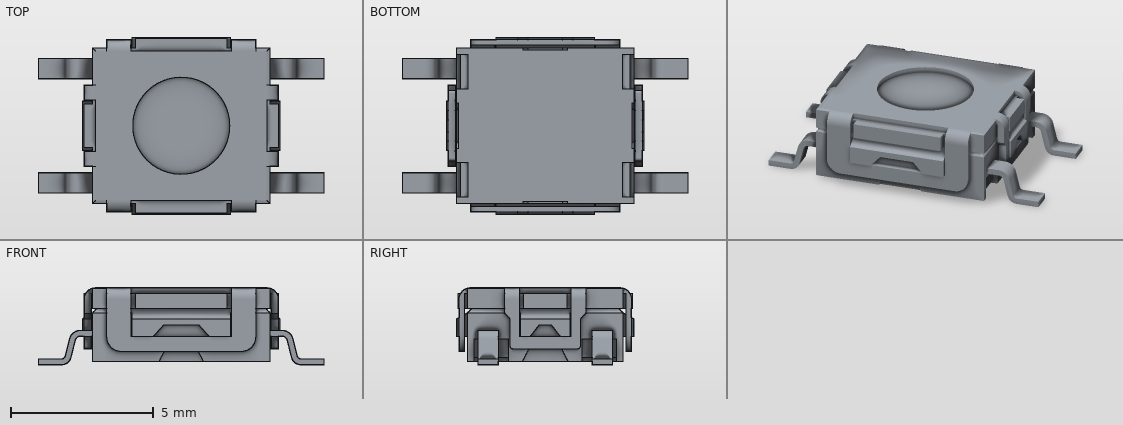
import cadquery as cq
import math

top_z = 2.7
base_bottom_z = 0.11
base_top_z = 1.97
base_chamfer = 0.15

body_x = 6.22
body_y = 5.46
cover_bevel_width = 0.11
cover_bevel_height = 0.03
button_diameter = 3.4
button_depth = 0.2

bend_radius = 0.4
window_bottom_z = 0.99
upper_block_top_z = 2.5
lower_block_edge_z = 1.61
snap_slot_height = 0.41
key_slope = 0.5
key_depth = 0.08

lead_tip_x = 5.0
lead_centre_y = 2.0
lead_width = 0.72
lead_top_z = 1.21
lead_thickness = 0.21
lead_foot_bend_outer = 0.34
lead_crest_bend_outer = 0.4
lead_foot_bend_x = 4.19
lead_rise_angle = math.radians(76)
lead_embed = 0.2

pocket_inner_y = 1.29
pocket_outer_y = 2.49
pocket_top_z = 0.9
pocket_depth = 0.15
relief_top_z = 0.25
relief_depth = 0.4


def centred_box(size_x, size_y, bottom_z, upper_z):
    """Box centred on the Z axis between two heights."""
    box = cq.Workplane("XY").box(size_x, size_y, upper_z - bottom_z, centered=(True, True, False))
    return box.translate((0, 0, bottom_z))


def wall_box(half_width, inner, outer, bottom_z, upper_z):
    """Box on the -Y wall, from distance inner to distance outer from the Z axis."""
    box = cq.Workplane("XY").box(2 * half_width, outer - inner, upper_z - bottom_z, centered=(True, True, False))
    return box.translate((0, -(inner + outer) / 2, bottom_z))


def wall_trapezoid(bottom_half, top_half, inner, outer, bottom_z, upper_z):
    """Symmetric trapezoid in the XZ plane, as thick as the span from inner to outer."""
    outline = [(-bottom_half, bottom_z), (bottom_half, bottom_z), (top_half, upper_z), (-top_half, upper_z)]
    return cq.Workplane("XZ", origin=(0, -inner, 0)).polyline(outline).close().extrude(outer - inner)


def bent_strap(outline, bottom_radius, window_half, outer, thickness, bottom_z):
    """U-shaped sheet-metal strap that bends down from the top over the -Y wall."""
    bend_y = -(outer - bend_radius)
    bend_z = top_z - bend_radius
    diagonal = math.sqrt(0.5)
    width = 2 * max(x for x, z in outline)
    sheet = (
        cq.Workplane("YZ")
        .moveTo(bend_y, top_z)
        .threePointArc(
            (bend_y - bend_radius * diagonal, bend_z + bend_radius * diagonal),
            (-outer, bend_z),
        )
        .lineTo(-outer, bottom_z)
        .lineTo(-outer + thickness, bottom_z)
        .lineTo(-outer + thickness, upper_block_top_z)
        .lineTo(bend_y, upper_block_top_z)
        .close()
        .extrude(width / 2, both=True)
    )
    mirrored = [(-x, z) for x, z in reversed(outline)]
    blank = cq.Workplane("XZ").polyline(outline + mirrored).close().extrude(outer)
    blank = blank.edges("|Y").edges("<Z").fillet(bottom_radius)
    return sheet.intersect(blank).cut(wall_box(window_half, 0, outer, window_bottom_z, top_z))


def lower_block(half_width, wall, outer):
    """Latch block in the strap window, with a top face that slopes outwards."""
    profile = [
        (-wall + base_chamfer, window_bottom_z),
        (-outer, window_bottom_z),
        (-outer, lower_block_edge_z),
        (-wall, base_top_z - base_chamfer),
        (-wall + base_chamfer, base_top_z - base_chamfer),
    ]
    return cq.Workplane("YZ").polyline(profile).close().extrude(half_width, both=True)


def add_wall(body, turn, wall, strap, strap_outer, strap_thickness, strap_bottom_z, window_half,
             upper_half, upper_outer, lower_half, lower_outer, slot_half, slot_top_half, key_half):
    """Fit the strap, the latch blocks and their recesses to the wall that faces -Y turned about Z."""
    def placed(shape):
        return shape.rotate((0, 0, 0), (0, 0, 1), turn)

    edge_step = wall_box(window_half, wall - cover_bevel_width, wall, upper_block_top_z, top_z)
    key = wall_trapezoid(
        key_half, key_half - key_slope * (strap_bottom_z - base_bottom_z),
        wall - key_depth, wall, base_bottom_z, strap_bottom_z,
    )
    snap_slot = wall_trapezoid(
        slot_half, slot_top_half, strap_outer - strap_thickness, lower_outer,
        window_bottom_z, window_bottom_z + snap_slot_height,
    )
    upper_block = wall_box(
        upper_half, wall - cover_bevel_width, upper_outer, base_top_z, upper_block_top_z,
    )
    latch = lower_block(lower_half, wall, lower_outer).cut(snap_slot)
    body = body.cut(placed(edge_step)).cut(placed(key))
    return body.union(placed(upper_block)).union(placed(latch)).union(placed(strap))


def lead():
    """Gull-wing lead on the -X side, centred on Y = 0."""
    foot_outer = lead_foot_bend_outer
    foot_inner = foot_outer - lead_thickness
    crest_outer = lead_crest_bend_outer
    crest_inner = crest_outer - lead_thickness
    sine = math.sin(lead_rise_angle)
    cosine = math.cos(lead_rise_angle)
    half_sine = math.sin(lead_rise_angle / 2)
    half_cosine = math.cos(lead_rise_angle / 2)
    foot_x = -lead_foot_bend_x
    foot_z = foot_outer
    crest_z = lead_top_z - crest_outer
    straight = (crest_z - foot_z + (foot_outer + crest_inner) * cosine) / sine
    crest_x = foot_x + (foot_outer + crest_inner) * sine + straight * cosine
    root_x = -body_x / 2 + lead_embed

    def foot_point(radius, across, down):
        return (foot_x + radius * across, foot_z - radius * down)

    def crest_point(radius, across, up):
        return (crest_x - radius * across, crest_z + radius * up)

    profile = (
        cq.Workplane("XZ")
        .moveTo(-lead_tip_x, 0)
        .lineTo(foot_x, 0)
        .threePointArc(foot_point(foot_outer, half_sine, half_cosine), foot_point(foot_outer, sine, cosine))
        .lineTo(*crest_point(crest_inner, sine, cosine))
        .threePointArc(crest_point(crest_inner, half_sine, half_cosine), crest_point(crest_inner, 0, 1))
        .lineTo(root_x, lead_top_z - lead_thickness)
        .lineTo(root_x, lead_top_z)
        .lineTo(crest_x, lead_top_z)
        .threePointArc(crest_point(crest_outer, half_sine, half_cosine), crest_point(crest_outer, sine, cosine))
        .lineTo(*foot_point(foot_inner, sine, cosine))
        .threePointArc(foot_point(foot_inner, half_sine, half_cosine), foot_point(foot_inner, 0, 1))
        .lineTo(-lead_tip_x, lead_thickness)
        .close()
    )
    return profile.extrude(lead_width / 2, both=True)


def lead_pocket():
    """Clearance on the -X side around the lead at -Y, deeper along the underside."""
    width = pocket_outer_y - pocket_inner_y
    centre_y = -(pocket_outer_y + pocket_inner_y) / 2

    def notch(depth, upper_z):
        box = centred_box(2 * depth, width, base_bottom_z, upper_z)
        return box.translate((-body_x / 2, centre_y, 0))

    return notch(pocket_depth, pocket_top_z).union(notch(relief_depth, relief_top_z))


base = centred_box(body_x, body_y, base_bottom_z, base_top_z).faces(">Z").edges().chamfer(base_chamfer)
cover = centred_box(body_x, body_y, base_top_z, top_z)
cover = cover.faces(">Z").edges().chamfer(cover_bevel_height, cover_bevel_width)
body = base.union(cover)

long_strap_outer = 3.02
long_strap_thickness = 0.2
long_strap_bottom_z = 0.47
long_strap_half = 2.61
long_window_half = 1.76
long_strap = bent_strap(
    [(long_strap_half, long_strap_bottom_z), (long_strap_half, top_z)],
    0.5, long_window_half, long_strap_outer, long_strap_thickness, long_strap_bottom_z,
)
short_strap_outer = 3.4
short_strap_thickness = 0.25
short_strap_bottom_z = 0.56
short_window_half = 0.9
short_strap = bent_strap(
    [(1.23, short_strap_bottom_z), (1.23, 1.61), (1.42, 1.8), (1.42, top_z)],
    0.1, short_window_half, short_strap_outer, short_strap_thickness, short_strap_bottom_z,
)
for turn in (0, 180):
    body = add_wall(
        body, turn, body_y / 2, long_strap, long_strap_outer, long_strap_thickness,
        long_strap_bottom_z, long_window_half, upper_half=1.61, upper_outer=3.06,
        lower_half=1.73, lower_outer=3.1, slot_half=0.98, slot_top_half=0.61, key_half=0.78,
    )
for turn in (90, -90):
    body = add_wall(
        body, turn, body_x / 2, short_strap, short_strap_outer, short_strap_thickness,
        short_strap_bottom_z, short_window_half, upper_half=0.76, upper_outer=3.4,
        lower_half=0.86, lower_outer=3.46, slot_half=0.53, slot_top_half=0.21, key_half=0.8,
    )

for turn in (0, 180):
    for side in (-1, 1):
        pocket = lead_pocket()
        if side > 0:
            pocket = pocket.mirror("XZ")
        placed_lead = lead().translate((0, side * lead_centre_y, 0))
        body = body.cut(pocket.rotate((0, 0, 0), (0, 0, 1), turn))
        body = body.union(placed_lead.rotate((0, 0, 0), (0, 0, 1), turn))

button_recess = cq.Workplane("XY", origin=(0, 0, top_z)).circle(button_diameter / 2).extrude(-button_depth)
result = body.cut(button_recess)